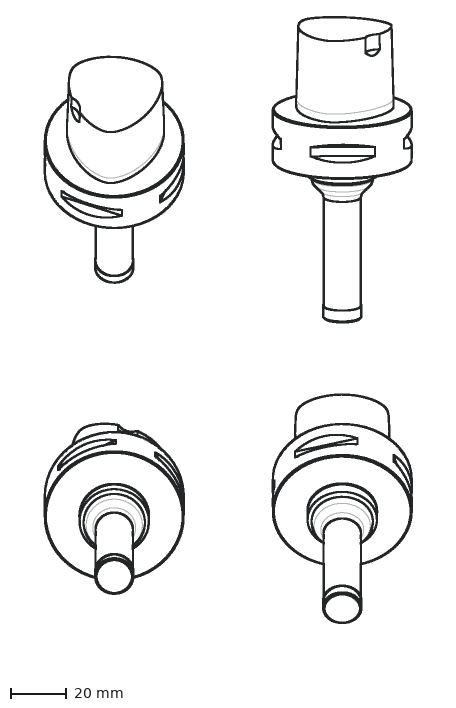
import cadquery as cq
import math

TOTAL_HEIGHT = 108.0

HEAD_RADIUS = 6.9
HEAD_TOP = 4.9
HEAD_CHAMFER = 0.5
HEAD_POINT_HEIGHT = 0.3

STEM_RADIUS = 6.7
STEM_TOP = 45.3
NECK_STEP = 0.1
NECK_RADIUS = 11.0
NECK_BOTTOM = 52.1
NECK_TOP = 52.6

COLLAR_RADIUS = 12.47
COLLAR_BOTTOM = 53.6
COLLAR_TOP = 58.0
REGISTER_STEP = 0.1

FLANGE_RADIUS = 25.0
FLANGE_BOTTOM = 58.5
FLANGE_TOP = 78.0
FLANGE_CHAMFER = 0.4

SLOT_COUNT = 4
SLOT_FIRST_ANGLE = 45.0
SLOT_MID_HEIGHT = 68.0
SLOT_FLOOR_DISTANCE = 22.1
SLOT_FLOOR_WIDTH = 3.3
SLOT_MOUTH_WIDTH = 6.7

SHANK_BASE_RADIUS = 17.5
SHANK_TOP_RADIUS = 16.79
LOBE_ECCENTRICITY = 1.4
LOBE_COUNT = 3
TAPER_START = 81.0
PROFILE_POINTS = 48

NOTCH_RADIUS = 5.8
NOTCH_INNER_DISTANCE = 13.9
NOTCH_FLOOR = 102.4


def neck_fillet_radius(root_radius):
    """Radius of two equal fillets joined by a 45 degree cone in the neck."""
    drop = NECK_BOTTOM - STEM_TOP
    narrowing = NECK_RADIUS - root_radius
    return (drop - narrowing) / (2 * (math.sqrt(2) - 1))


def make_turned_body():
    """Stem, neck, collar and flange as one revolved half section."""
    root_radius = STEM_RADIUS + NECK_STEP
    fillet = neck_fillet_radius(root_radius)
    end_sine = math.sin(math.radians(45))
    mid_sine = math.sin(math.radians(22.5))
    mid_cosine = math.cos(math.radians(22.5))
    end_inset = fillet * (1 - end_sine)
    mid_inset = fillet * (1 - mid_cosine)
    register_radius = COLLAR_RADIUS + REGISTER_STEP
    rim_radius = FLANGE_RADIUS - FLANGE_CHAMFER
    return (
        cq.Workplane("XZ")
        .moveTo(0, HEAD_TOP)
        .lineTo(STEM_RADIUS, HEAD_TOP)
        .lineTo(STEM_RADIUS, STEM_TOP)
        .lineTo(root_radius, STEM_TOP)
        .threePointArc(
            (root_radius + mid_inset, STEM_TOP + fillet * mid_sine),
            (root_radius + end_inset, STEM_TOP + fillet * end_sine),
        )
        .lineTo(NECK_RADIUS - end_inset, NECK_BOTTOM - fillet * end_sine)
        .threePointArc(
            (NECK_RADIUS - mid_inset, NECK_BOTTOM - fillet * mid_sine),
            (NECK_RADIUS, NECK_BOTTOM),
        )
        .lineTo(NECK_RADIUS, NECK_TOP)
        .lineTo(COLLAR_RADIUS, COLLAR_BOTTOM)
        .lineTo(COLLAR_RADIUS, COLLAR_TOP)
        .lineTo(register_radius, COLLAR_TOP)
        .lineTo(register_radius, FLANGE_BOTTOM)
        .lineTo(rim_radius, FLANGE_BOTTOM)
        .lineTo(FLANGE_RADIUS, FLANGE_BOTTOM + FLANGE_CHAMFER)
        .lineTo(FLANGE_RADIUS, FLANGE_TOP - FLANGE_CHAMFER)
        .lineTo(rim_radius, FLANGE_TOP)
        .lineTo(0, FLANGE_TOP)
        .close()
        .revolve()
    )


def lobed_point(mean_radius, turn):
    """Point of a constant-width lobed curve, with turn running from 0 to 1."""
    angle = 2 * math.pi * turn
    reach = mean_radius + LOBE_ECCENTRICITY * math.cos(LOBE_COUNT * angle)
    slide = LOBE_COUNT * LOBE_ECCENTRICITY * math.sin(LOBE_COUNT * angle)
    along_lobe = reach * math.cos(angle) + slide * math.sin(angle)
    across_lobe = reach * math.sin(angle) - slide * math.cos(angle)
    return (-across_lobe, along_lobe)


def lobed_section(height, mean_radius):
    points = [lobed_point(mean_radius, i / PROFILE_POINTS) for i in range(PROFILE_POINTS)]
    return cq.Workplane("XY", origin=(0, 0, height)).spline(points, periodic=True).close()


def make_shank():
    """Straight lobed base followed by a taper to the top."""
    base = lobed_section(FLANGE_TOP, SHANK_BASE_RADIUS).extrude(TAPER_START - FLANGE_TOP)
    lower_wire = lobed_section(TAPER_START, SHANK_BASE_RADIUS).val()
    upper_wire = lobed_section(TOTAL_HEIGHT, SHANK_TOP_RADIUS).val()
    taper = cq.Solid.makeLoft([lower_wire, upper_wire], True)
    return base.union(cq.Workplane(taper))


def make_notch_cutter():
    """Vertical cylinder with a 45 degree conical lower end."""
    axis_y = -(NOTCH_INNER_DISTANCE + NOTCH_RADIUS)
    return (
        cq.Workplane("XZ")
        .moveTo(0, NOTCH_FLOOR - NOTCH_RADIUS)
        .lineTo(NOTCH_RADIUS, NOTCH_FLOOR)
        .lineTo(NOTCH_RADIUS, TOTAL_HEIGHT)
        .lineTo(0, TOTAL_HEIGHT)
        .close()
        .revolve()
        .translate((0, axis_y, 0))
    )


def make_slot_cutter(angle):
    """Straight trapezoidal groove whose floor is square to the flange radius."""
    half_floor = SLOT_FLOOR_WIDTH / 2
    half_mouth = SLOT_MOUTH_WIDTH / 2
    return (
        cq.Workplane("XZ", origin=(0, 0, SLOT_MID_HEIGHT))
        .moveTo(SLOT_FLOOR_DISTANCE, -half_floor)
        .lineTo(FLANGE_RADIUS, -half_mouth)
        .lineTo(FLANGE_RADIUS, half_mouth)
        .lineTo(SLOT_FLOOR_DISTANCE, half_floor)
        .close()
        .extrude(FLANGE_RADIUS, both=True)
        .rotate((0, 0, 0), (0, 0, 1), angle)
    )


def make_holder():
    body = make_turned_body().union(make_shank()).cut(make_notch_cutter())
    for i in range(SLOT_COUNT):
        body = body.cut(make_slot_cutter(SLOT_FIRST_ANGLE + i * 360 / SLOT_COUNT))
    return body


def make_cutting_head():
    """Short disc with a chamfered lower rim and a shallow conical point."""
    return (
        cq.Workplane("XZ")
        .lineTo(HEAD_RADIUS - HEAD_CHAMFER, HEAD_POINT_HEIGHT)
        .lineTo(HEAD_RADIUS, HEAD_POINT_HEIGHT + HEAD_CHAMFER)
        .lineTo(HEAD_RADIUS, HEAD_TOP)
        .lineTo(0, HEAD_TOP)
        .close()
        .revolve()
    )


holder = make_holder()
cutting_head = make_cutting_head()

result = cq.Compound.makeCompound([holder.val(), cutting_head.val()])